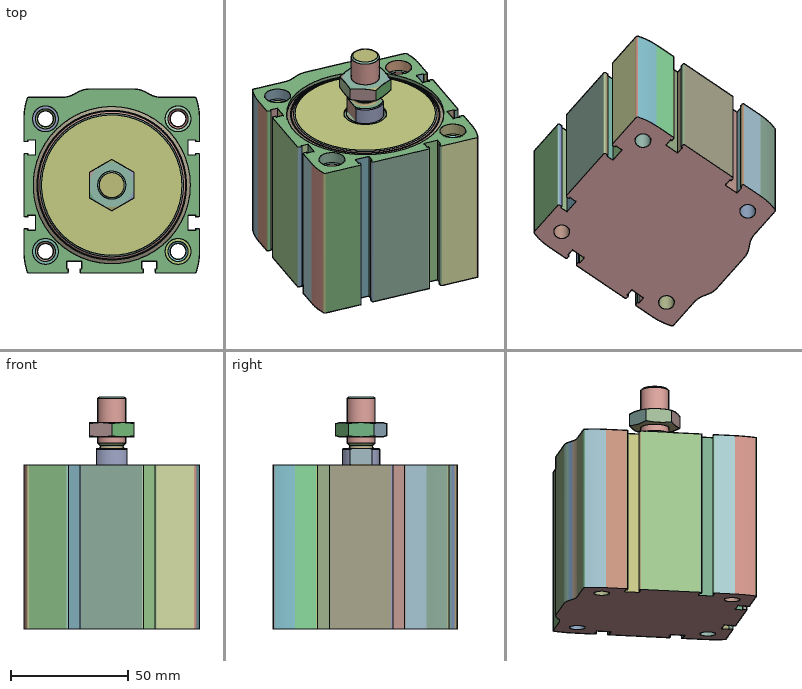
import cadquery as cq
import math


housing_height = 70.0
half_width = 37.5
hump_height = 3.5
hump_top_half = 9.6
hump_base_half = 20.9
hump_slope_angle = 28.0
side_arc_start = 28.0
side_arc_inset = 1.6
corner_radius = 1.0

slot_offset = 16.0
slot_depth = 5.0
slot_width = 6.3
slot_mouth_width = 5.0
slot_lip = 1.8
mouth_radius = 0.6

hole_spacing = 56.5
hole_diameter = 6.65
hole_chamfer_diameter = 8.57
counterbore_diameter = 11.0
counterbore_depth = 5.0

recess_diameter = 67.0
recess_depth = 1.5
lip_crest_diameter = 63.8
bore_diameter = 63.0
lip_crest_depth = 0.4
bore_step_depth = 1.0
cover_diameter = 61.2
cover_bevel_depth = 0.25
cover_face_diameter = 59.8

rod_diameter = 16.0
rod_flats = 13.0
rod_flat_fillet = 0.3
rod_insertion = 20.0
rod_shoulder = 7.0
rod_shoulder_chamfer = 0.4
rod_recess_diameter = 18.1
rod_recess_depth = 0.8
rod_lip_depth = 0.2
neck_diameter = 9.8
neck_fillet = 0.7
thread_diameter = 12.0
thread_end_diameter = 10.65
thread_start = 9.3
rod_projection = 29.0

nut_flats = 19.0
nut_height = 6.0
nut_base = 12.0
nut_chamfer_angle = 17.0


def housing_block():
    """Extruded outline with bulged corners and a hump on the +Y side."""
    arc_span = half_width - side_arc_start
    arc_radius = (arc_span**2 + side_arc_inset**2) / (2 * side_arc_inset)
    half_angle = math.asin(arc_span / arc_radius) / 2
    arc_mid_x = half_width - arc_radius * (1 - math.cos(half_angle))
    arc_mid_y = side_arc_start + arc_radius * math.sin(half_angle)
    corner_x = half_width - side_arc_inset

    block = (
        cq.Workplane("XY")
        .moveTo(-corner_x, -half_width)
        .lineTo(corner_x, -half_width)
        .threePointArc((arc_mid_x, -arc_mid_y), (half_width, -side_arc_start))
        .lineTo(half_width, side_arc_start)
        .threePointArc((arc_mid_x, arc_mid_y), (corner_x, half_width))
        .lineTo(-corner_x, half_width)
        .threePointArc((-arc_mid_x, arc_mid_y), (-half_width, side_arc_start))
        .lineTo(-half_width, -side_arc_start)
        .threePointArc((-arc_mid_x, -arc_mid_y), (-corner_x, -half_width))
        .close()
        .extrude(housing_height)
    )
    corner_size = 2 * side_arc_inset
    for x_sign in (-1, 1):
        for y_sign in (-1, 1):
            x = x_sign * corner_x
            y = y_sign * half_width
            near_corner = cq.selectors.BoxSelector(
                (x - corner_size / 2, y - corner_size / 2, 0),
                (x + corner_size / 2, y + corner_size / 2, housing_height),
            )
            block = block.edges("|Z").edges(near_corner).fillet(corner_radius)
    return block.union(hump())


def hump():
    """Raised pad whose flanks blend into the +Y side with equal arcs."""
    slope = math.radians(hump_slope_angle)
    run = hump_base_half - hump_top_half
    flank_run = hump_height / math.tan(slope)
    tangent = (run - flank_run) / 2
    blend_radius = tangent / math.tan(slope / 2)
    arc_run = blend_radius * math.sin(slope)
    arc_rise = blend_radius * (1 - math.cos(slope))
    mid_run = blend_radius * math.sin(slope / 2)
    mid_rise = blend_radius * (1 - math.cos(slope / 2))
    low = half_width
    high = half_width + hump_height
    half_hump = (
        cq.Workplane("XY")
        .moveTo(0, high)
        .lineTo(hump_top_half, high)
        .threePointArc((hump_top_half + mid_run, high - mid_rise), (hump_top_half + arc_run, high - arc_rise))
        .lineTo(hump_base_half - arc_run, low + arc_rise)
        .threePointArc((hump_base_half - mid_run, low + mid_rise), (hump_base_half, low))
        .lineTo(0, 0)
        .close()
        .extrude(housing_height)
    )
    return half_hump.union(half_hump.mirror("YZ"))


def slot_cutter():
    """T-slot through the full height, open at the -Y side, centred on X = 0."""
    mouth_half = slot_mouth_width / 2
    flare_half = mouth_half + mouth_radius
    wide_half = slot_width / 2
    arc_offset = mouth_radius * (1 - math.sqrt(0.5))
    outer = -half_width
    lip_inner = outer + slot_lip
    floor = outer + slot_depth
    return (
        cq.Workplane("XY")
        .moveTo(-flare_half, outer)
        .threePointArc((-mouth_half - arc_offset, outer + arc_offset), (-mouth_half, outer + mouth_radius))
        .lineTo(-mouth_half, lip_inner)
        .lineTo(-wide_half, lip_inner)
        .lineTo(-wide_half, floor)
        .lineTo(wide_half, floor)
        .lineTo(wide_half, lip_inner)
        .lineTo(mouth_half, lip_inner)
        .lineTo(mouth_half, outer + mouth_radius)
        .threePointArc((mouth_half + arc_offset, outer + arc_offset), (flare_half, outer))
        .close()
        .extrude(housing_height)
    )


def mounting_hole_cutter():
    """Through hole with a chamfered mouth below a counterbore."""
    hole_r = hole_diameter / 2
    chamfer_r = hole_chamfer_diameter / 2
    bore_r = counterbore_diameter / 2
    seat = housing_height - counterbore_depth
    return (
        cq.Workplane("XZ")
        .lineTo(hole_r, 0)
        .lineTo(hole_r, seat - (chamfer_r - hole_r))
        .lineTo(chamfer_r, seat)
        .lineTo(bore_r, seat)
        .lineTo(bore_r, housing_height)
        .lineTo(0, housing_height)
        .close()
        .revolve(360, (0, 0, 0), (0, 1, 0))
    )


def cover_recess_cutter():
    """Ring recess: a straight wall, a conical lip and the cover's double bevel."""
    wall_r = recess_diameter / 2
    crest_r = lip_crest_diameter / 2
    bore_r = bore_diameter / 2
    cover_r = cover_diameter / 2
    face_r = cover_face_diameter / 2
    return (
        cq.Workplane("XZ")
        .moveTo(face_r, housing_height)
        .lineTo(cover_r, housing_height - cover_bevel_depth)
        .lineTo(bore_r, housing_height - bore_step_depth)
        .lineTo(bore_r, housing_height - lip_crest_depth)
        .lineTo(crest_r, housing_height - lip_crest_depth)
        .lineTo(wall_r, housing_height - recess_depth)
        .lineTo(wall_r, housing_height)
        .close()
        .revolve(360, (0, 0, 0), (0, 1, 0))
    )


def rod_bore_cutter():
    """Blind rod bore with a conical lip inside a shallow ring recess."""
    rod_r = rod_diameter / 2
    recess_r = rod_recess_diameter / 2
    bottom = housing_height - rod_insertion
    return (
        cq.Workplane("XZ")
        .moveTo(0, bottom)
        .lineTo(rod_r, bottom)
        .lineTo(rod_r, housing_height - rod_lip_depth)
        .lineTo(recess_r, housing_height - rod_recess_depth)
        .lineTo(recess_r, housing_height)
        .lineTo(0, housing_height)
        .close()
        .revolve(360, (0, 0, 0), (0, 1, 0))
    )


def make_housing():
    housing = housing_block()
    for side_angle in (0, 90, -90):
        for offset in (-slot_offset, slot_offset):
            slot = slot_cutter().translate((offset, 0, 0))
            housing = housing.cut(slot.rotate((0, 0, 0), (0, 0, 1), side_angle))
    for x_sign in (-1, 1):
        for y_sign in (-1, 1):
            place = (x_sign * hole_spacing / 2, y_sign * hole_spacing / 2, 0)
            housing = housing.cut(mounting_hole_cutter().translate(place))
    return housing.cut(cover_recess_cutter()).cut(rod_bore_cutter())


def make_rod():
    rod_r = rod_diameter / 2
    thread_r = thread_diameter / 2
    end_r = thread_end_diameter / 2
    neck_r = neck_diameter / 2
    end_chamfer = thread_r - end_r
    arc_offset = neck_fillet * (1 - math.sqrt(0.5))
    bottom = housing_height - rod_insertion
    shoulder = housing_height + rod_shoulder
    thread_base = housing_height + thread_start
    tip = housing_height + rod_projection
    rod = (
        cq.Workplane("XZ")
        .moveTo(0, bottom)
        .lineTo(rod_r, bottom)
        .lineTo(rod_r, shoulder - rod_shoulder_chamfer)
        .lineTo(rod_r - rod_shoulder_chamfer, shoulder)
        .lineTo(neck_r + neck_fillet, shoulder)
        .threePointArc((neck_r + arc_offset, shoulder + arc_offset), (neck_r, shoulder + neck_fillet))
        .lineTo(neck_r, thread_base - (thread_r - neck_r))
        .lineTo(thread_r, thread_base)
        .lineTo(thread_r, tip - end_chamfer)
        .lineTo(end_r, tip)
        .lineTo(0, tip)
        .close()
        .revolve(360, (0, 0, 0), (0, 1, 0))
    )
    for x_sign in (-1, 1):
        cutter = (
            cq.Workplane("XY")
            .box(rod_diameter, 2 * rod_diameter, rod_shoulder, centered=(True, True, False))
            .translate((x_sign * (rod_flats + rod_diameter) / 2, 0, housing_height))
            .edges("|Y and <Z")
            .fillet(rod_flat_fillet)
        )
        rod = rod.cut(cutter)
    return rod


def make_nut():
    """Hexagonal nut with two flats facing +X and -X and bevelled corners."""
    flat_r = nut_flats / 2
    corner_r = flat_r / math.cos(math.radians(30))
    bevel = (corner_r - flat_r) * math.tan(math.radians(nut_chamfer_angle))
    base = housing_height + nut_base
    top = base + nut_height
    hexagon = (
        cq.Workplane("XY")
        .polygon(6, 2 * corner_r)
        .extrude(nut_height)
        .rotate((0, 0, 0), (0, 0, 1), 30)
        .translate((0, 0, base))
    )
    bevelled_disc = (
        cq.Workplane("XZ")
        .moveTo(0, base)
        .lineTo(flat_r, base)
        .lineTo(corner_r, base + bevel)
        .lineTo(corner_r, top - bevel)
        .lineTo(flat_r, top)
        .lineTo(0, top)
        .close()
        .revolve(360, (0, 0, 0), (0, 1, 0))
    )
    thread_hole = (
        cq.Workplane("XY")
        .workplane(offset=base)
        .circle(thread_diameter / 2)
        .extrude(nut_height)
    )
    return hexagon.intersect(bevelled_disc).cut(thread_hole)


housing = make_housing()
rod = make_rod()
nut = make_nut()

result = cq.Compound.makeCompound([*housing.solids().vals(), *rod.solids().vals(), *nut.solids().vals()])